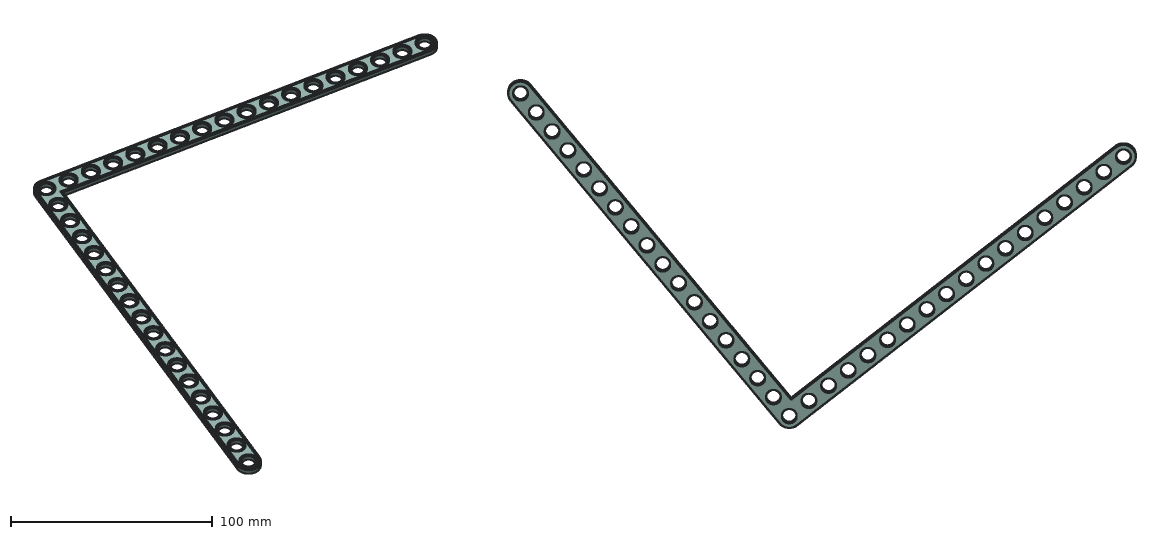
import cadquery as cq

outer_length = 225.0
hole_count = 18
thickness = 3.2
hole_diameter = 7.0
collar_diameter = 9.2
rim_width = 1.1
recess_depth = 0.2
edge_chamfer = 0.32

pitch = outer_length / hole_count
leg_width = pitch
hole_span = pitch * (hole_count - 1)


def l_shape(width, height):
    """L of two round-ended bars that share the round end at the origin."""
    leg = (
        cq.Workplane("XY")
        .center(hole_span / 2, 0)
        .slot2D(hole_span + width, width)
        .extrude(height)
    )
    return leg.union(leg.rotate((0, 0, 0), (0, 0, 1), 90))


def hole_centers():
    """Hole centers along both legs, with the shared corner hole listed once."""
    along_x = [(i * pitch, 0) for i in range(hole_count)]
    along_y = [(0, i * pitch) for i in range(1, hole_count)]
    return along_x + along_y


def cylinders(diameter):
    """Full-height cylinders at every hole center."""
    return (
        cq.Workplane("XY")
        .pushPoints(hole_centers())
        .circle(diameter / 2)
        .extrude(thickness)
    )


def top_recess():
    """Shallow pocket that leaves the rim and the collars standing."""
    pocket = l_shape(leg_width - 2 * rim_width, recess_depth)
    return pocket.translate((0, 0, thickness - recess_depth)).cut(cylinders(collar_diameter))


plate = l_shape(leg_width, thickness).cut(cylinders(hole_diameter))
plate = plate.faces("<Z or >Z").chamfer(edge_chamfer)

result = plate.cut(top_recess())